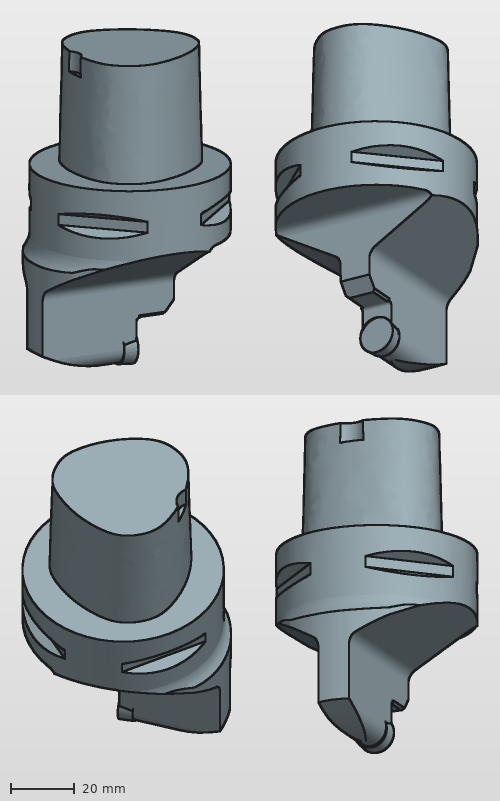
import cadquery as cq
import math

flange_radius = 31.5
flange_bottom = -22.9
shank_height = 38.1
tool_bottom = -64.9
margin = 5.1

shank_mean_radius = 22.1
lobe_height = 1.4
lobe_correction = -0.24
shank_taper = 0.95
outline_points = 24
notch_radius = 5.6
notch_depth_y = -17.8
notch_bottom = 31.6

slot_floor_distance = 27.9
slot_floor_top = -10.1
slot_floor_bottom = -13.6
slot_flank_angle = 30.0
slot_count = 4

front_face_y = -33.9
front_radius = 29.3
front_edge_x = 16.8
front_flat_width = 0.8
stock_radius = 32.2
blade_half_width = 5.3
tip_round_z = -58.7
shoulder_angle = 30.0
shoulder_rim_z = -21.3
shoulder_fillet = 4.4
collar_mid = (32.1, -25.3)
collar_end = (33.3, -27.3)
collar_lip_z = -28.1

back_step_z = -21.8
back_face_y = 12.8
back_fillet = 3.0
heel_start_z = -44.5
heel_end_y = 9.1
ledge_z = -48.9
ledge_chamfer = 0.8
ledge_fillet = 1.0
seat_face_y = -0.4
relief_start_y = -8.2
relief_mid = (-18.8, -62.4)
relief_end = (-26.5, -60.1)
toe_z = -56.9

insert_radius = 6.0
insert_back_radius = 5.6
insert_face_y = -0.1
insert_thickness = 4.7
insert_z = tool_bottom + insert_radius


def shank_outline(inset):
    """Points of the three-lobed outline, given by its support function, with one lobe toward +Y."""
    points = []
    for i in range(outline_points):
        turn = 2 * math.pi * i / outline_points
        reach = (shank_mean_radius - inset + lobe_height * math.cos(3 * turn)
                 + lobe_correction * math.cos(6 * turn))
        slide = -3 * lobe_height * math.sin(3 * turn) - 6 * lobe_correction * math.sin(6 * turn)
        x = -reach * math.sin(turn) - slide * math.cos(turn)
        y = reach * math.cos(turn) - slide * math.sin(turn)
        points.append((x, y))
    return points


def make_shank():
    shank = (
        cq.Workplane("XY").spline(shank_outline(0), periodic=True).close()
        .workplane(offset=shank_height).spline(shank_outline(shank_taper), periodic=True).close()
        .loft(ruled=True)
    )
    notch = (
        cq.Workplane("XY", origin=(0, notch_depth_y - notch_radius, notch_bottom))
        .circle(notch_radius).extrude(shank_height)
    )
    return shank.cut(notch)


def make_gripper_slot():
    """Trapezoidal cutter facing +X, running along Y."""
    outer = flange_radius + margin
    spread = (outer - slot_floor_distance) * math.tan(math.radians(slot_flank_angle))
    return (
        cq.Workplane("XZ")
        .moveTo(slot_floor_distance, slot_floor_top)
        .lineTo(outer, slot_floor_top + spread)
        .lineTo(outer, slot_floor_bottom - spread)
        .lineTo(slot_floor_distance, slot_floor_bottom)
        .close()
        .extrude(flange_radius, both=True)
    )


def make_blade_stock():
    """Stock below the flange with a bulged front face, capped by a concave collar turned about Z."""
    half_flat = front_flat_width / 2
    center_y = front_face_y + front_radius
    mid_x = front_edge_x / 2
    mid_y = center_y - math.sqrt(front_radius**2 - (mid_x - half_flat)**2)
    edge_y = center_y - math.sqrt(front_radius**2 - (front_edge_x - half_flat)**2)
    edge_angle = math.atan2(front_edge_x, -edge_y)
    touch_angle = edge_angle + math.acos(stock_radius / math.hypot(front_edge_x, edge_y))
    touch_x = stock_radius * math.sin(touch_angle)
    touch_y = -stock_radius * math.cos(touch_angle)
    stock = (
        cq.Workplane("XY", origin=(0, 0, tool_bottom))
        .moveTo(-half_flat, front_face_y)
        .lineTo(half_flat, front_face_y)
        .threePointArc((mid_x, mid_y), (front_edge_x, edge_y))
        .lineTo(touch_x, touch_y)
        .threePointArc((0, stock_radius), (-touch_x, touch_y))
        .lineTo(-front_edge_x, edge_y)
        .threePointArc((-mid_x, mid_y), (-half_flat, front_face_y))
        .close()
        .extrude(flange_bottom - tool_bottom)
    )
    collar = (
        cq.Workplane("XZ")
        .moveTo(0, flange_bottom)
        .lineTo(flange_radius, flange_bottom)
        .threePointArc(collar_mid, collar_end)
        .lineTo(-front_face_y, collar_lip_z)
        .lineTo(-front_face_y + margin, collar_lip_z)
        .lineTo(-front_face_y + margin, tool_bottom)
        .lineTo(0, tool_bottom)
        .close()
        .revolve(360, (0, 0, 0), (0, 1, 0))
    )
    return stock.intersect(collar)


def make_front_envelope():
    """Sloped shoulders narrowing to a blade with a round tip, extruded along Y."""
    outer = flange_radius + margin
    slope = math.tan(math.radians(shoulder_angle))
    outer_z = shoulder_rim_z + margin * slope
    neck_z = shoulder_rim_z - (flange_radius - blade_half_width) * slope
    outline = (
        cq.Workplane("XZ")
        .moveTo(-outer, 0)
        .lineTo(outer, 0)
        .lineTo(outer, outer_z)
        .lineTo(blade_half_width, neck_z)
        .lineTo(blade_half_width, tip_round_z)
        .threePointArc((0, tip_round_z - blade_half_width), (-blade_half_width, tip_round_z))
        .lineTo(-blade_half_width, neck_z)
        .lineTo(-outer, outer_z)
        .close()
        .extrude(2 * flange_radius, both=True)
    )
    neck = cq.selectors.BoxSelector(
        (-blade_half_width - margin, -margin, neck_z - margin),
        (blade_half_width + margin, margin, neck_z + margin))
    return outline.edges("|Y").edges(neck).fillet(shoulder_fillet)


def make_side_envelope():
    """Side outline with the back step, heel, insert seat and curved relief, extruded along X."""
    outer = flange_radius + margin
    lowest = tip_round_z - blade_half_width
    toe_direction = (front_face_y - relief_end[0], toe_z - relief_end[1])
    outline = (
        cq.Workplane("YZ")
        .moveTo(outer, 0)
        .lineTo(outer, back_step_z)
        .lineTo(back_face_y + back_fillet, back_step_z)
        .radiusArc((back_face_y, back_step_z - back_fillet), -back_fillet)
        .lineTo(back_face_y, heel_start_z)
        .lineTo(heel_end_y, ledge_z)
        .lineTo(seat_face_y + ledge_fillet, ledge_z)
        .radiusArc((seat_face_y, ledge_z - ledge_fillet), -ledge_fillet)
        .lineTo(seat_face_y, lowest)
        .lineTo(relief_start_y, lowest)
        .spline([relief_mid, relief_end, (front_face_y, toe_z)],
                tangents=[(-1, 0), toe_direction], includeCurrent=True)
        .lineTo(-outer, toe_z)
        .lineTo(-outer, 0)
        .close()
    )
    return outline.extrude(outer, both=True)


def make_ledge_bevel():
    """Triangular cutter along the +X lower edge of the ledge."""
    return (
        cq.Workplane("XZ", origin=(0, heel_end_y + ledge_chamfer, ledge_z))
        .moveTo(blade_half_width - ledge_chamfer, 0)
        .lineTo(blade_half_width, 0)
        .lineTo(blade_half_width, ledge_chamfer)
        .close()
        .extrude(heel_end_y + ledge_chamfer - seat_face_y - ledge_fillet)
    )


def make_holder(insert):
    flange = cq.Workplane("XY").circle(flange_radius).extrude(flange_bottom)
    lower = flange.union(make_blade_stock())
    lower = lower.intersect(make_front_envelope()).intersect(make_side_envelope())
    ledge_bevel = make_ledge_bevel()
    lower = lower.cut(ledge_bevel).cut(ledge_bevel.mirror("YZ"))
    gripper_slot = make_gripper_slot()
    for i in range(slot_count):
        angle = (i + 0.5) * 360 / slot_count
        lower = lower.cut(gripper_slot.rotate((0, 0, 0), (0, 0, 1), angle))
    return lower.union(make_shank()).cut(insert)


def make_insert():
    """Round insert, largest at its cutting face and tapering toward -Y."""
    return (
        cq.Workplane("XZ", origin=(0, insert_face_y, insert_z))
        .circle(insert_radius)
        .workplane(offset=insert_thickness)
        .circle(insert_back_radius)
        .loft()
    )


insert = make_insert()
holder = make_holder(insert)

result = cq.Compound.makeCompound([holder.val(), insert.val()])